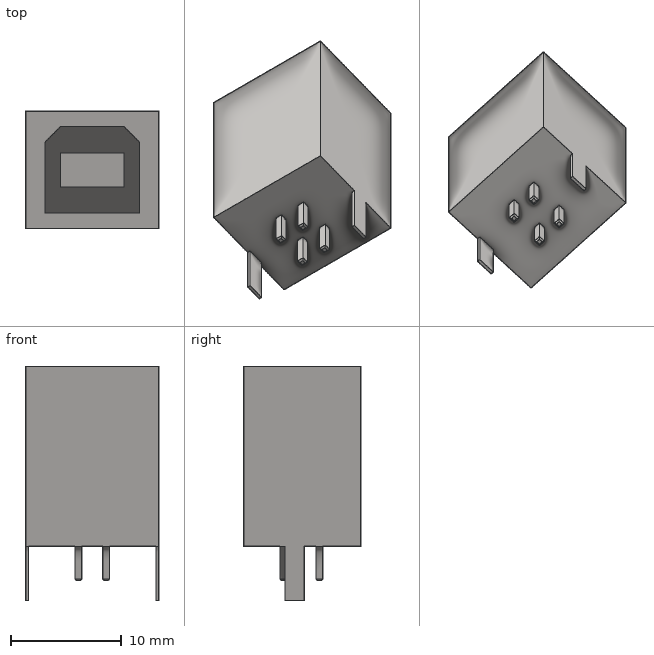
import cadquery as cq


body_width = 12.04
body_depth = 10.6
overall_height = 21.15
tab_length = 4.9
body_height = overall_height - tab_length

opening_width = 8.55
opening_depth = 7.8
opening_corner = 1.4
cavity_depth = 9.0

tongue_width = 5.7
tongue_depth = 3.05

pin_size = 0.64
pin_length = 3.1
pin_tip_bevel = 0.15
pin_half_spacing_x = 1.25
pin_rows_y = (-1.7, 1.55)

tab_width = 1.75
tab_thickness = 0.27
tab_center_y = -0.69


def block(width, depth, height, bottom_z):
    """Rectangular block centred on X and Y."""
    return cq.Workplane("XY").workplane(offset=bottom_z).rect(width, depth).extrude(height)


def make_cavity():
    """Space between the plug opening walls and the tongue."""
    floor_z = body_height - cavity_depth
    opening = block(opening_width, opening_depth, cavity_depth, floor_z)
    opening = opening.edges("|Z and >Y").chamfer(opening_corner)
    tongue = block(tongue_width, tongue_depth, cavity_depth, floor_z)
    return opening.cut(tongue)


def make_pin(x, y):
    pin = block(pin_size, pin_size, pin_length, -pin_length)
    pin = pin.faces("<Z").chamfer(pin_tip_bevel)
    return pin.translate((x, y, 0))


def make_tab(side):
    """Shield tab on the -X (side = -1) or +X (side = 1) face."""
    tab = block(tab_thickness, tab_width, tab_length, -tab_length)
    return tab.translate((side * (body_width - tab_thickness) / 2, tab_center_y, 0))


result = block(body_width, body_depth, body_height, 0).cut(make_cavity())

for side in (-1, 1):
    result = result.union(make_tab(side))
    for row_y in pin_rows_y:
        result = result.union(make_pin(side * pin_half_spacing_x, row_y))

result = result.clean()